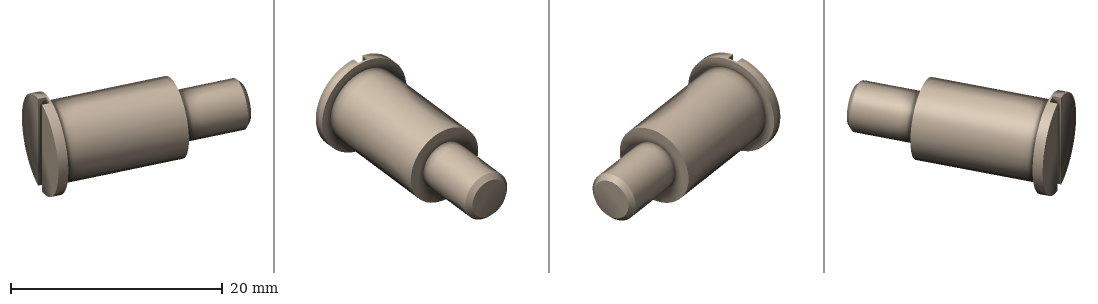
import cadquery as cq

total_length = 20.5
head_diameter = 10.0
head_thickness = 1.0
shoulder_diameter = 8.0
shoulder_length = 12.5
pin_diameter = 5.0
pin_length = total_length - head_thickness - shoulder_length
tip_chamfer = 0.5
slot_width = 1.05
slot_depth = 0.8


def cylinder_along_y(diameter, start, length):
    """Solid cylinder on the Y axis, running from start towards +Y."""
    axis_start = cq.Vector(0, start, 0)
    axis_direction = cq.Vector(0, 1, 0)
    solid = cq.Solid.makeCylinder(diameter / 2, length, axis_start, axis_direction)
    return cq.Workplane(obj=solid)


shoulder_start = head_thickness
pin_start = shoulder_start + shoulder_length
head = cylinder_along_y(head_diameter, 0, head_thickness)
shoulder = cylinder_along_y(shoulder_diameter, shoulder_start, shoulder_length)
pin = cylinder_along_y(pin_diameter, pin_start, pin_length)
pin = pin.faces(">Y").chamfer(tip_chamfer)

slot = cq.Workplane("XY").box(
    slot_width, slot_depth, head_diameter, centered=(True, False, True)
)

result = head.union(shoulder).union(pin).cut(slot)